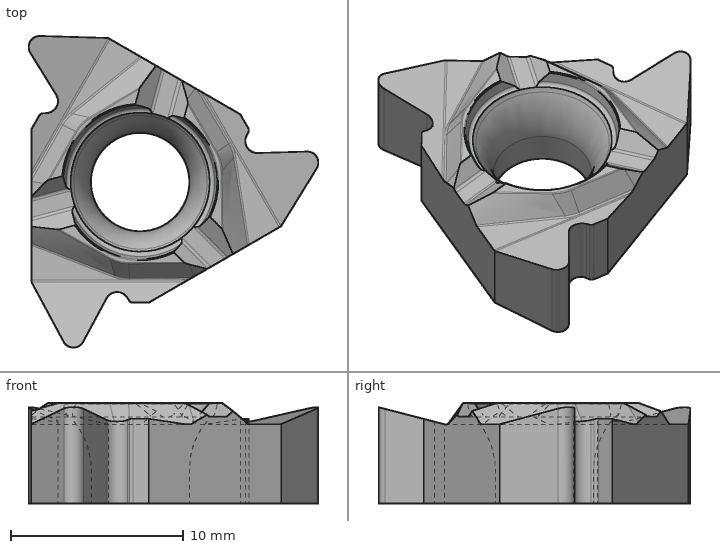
import cadquery as cq
import math

TEETH = 3
SECTOR_ANGLE = 360 / TEETH

body_apothem = 6.3
tip_x = -3.87
tip_center_y = -8.95
tip_radius = 0.65
flank_half_angle = math.radians(28.3)
notch_root_x = -1.4
notch_radius = 0.69
notch_shoulder_angle = math.radians(57)
shoulder_y = -7.0
shoulder_radius = 0.27

top_z = 5.84
floor_z = 4.59
slot_floor_z = 5.02

fold_y = -5.73
rake_angle = math.radians(14.5)
fold_radius = 0.43

foot_corners = [(-1.05, -5.6), (3.16, -5.57), (6.49, -5.1)]
crest_corners = [(-1.26, -4.7), (2.78, -4.68), (4.77, -4.35)]
bend_radius = 2.71
foot_fillet = 0.15
crest_fillet = 0.09

slot_angle = 195
slot_offset = -0.13
slot_half_width = 0.56
slot_steep_angle = math.radians(45)
slot_shallow_angle = math.radians(39)
slot_fillet = 0.29
slot_start_radius = 2.71
slot_end_radius = 8.13

bore_radius = 5.7 / 2
seat_bottom_z = 2.02
seat_arc_radius = 4.26
lip_start_radius = 3.87
lip_radius = 4.03
recess_foot_radius = 4.25
recess_top_radius = 4.48
recess_fillet = 0.27
recess_edge_run = 0.05

reach = 14.45
height_tolerance = 0.02


def rotated(point, degrees):
    angle = math.radians(degrees)
    x, y = point
    return (
        x * math.cos(angle) - y * math.sin(angle),
        x * math.sin(angle) + y * math.cos(angle),
    )


def all_sectors(points):
    return [rotated(p, k * SECTOR_ANGLE) for k in range(TEETH) for p in points]


def midpoint(first, second):
    return ((first[0] + second[0]) / 2, (first[1] + second[1]) / 2)


def polygon_wire(sector_corners, z):
    corners = [cq.Vector(x, y, z) for x, y in all_sectors(sector_corners)]
    return cq.Wire.makePolygon(corners, close=True)


def outline_prism(height):
    """Full outline of the insert, with rounded tips, notches and shoulders."""
    apex = (tip_x, tip_center_y - tip_radius / math.sin(flank_half_angle))
    flank_slope = 1 / math.tan(flank_half_angle)
    heel = (-body_apothem, apex[1] + (body_apothem + tip_x) * flank_slope)
    root = (notch_root_x, apex[1] + (notch_root_x - tip_x) * flank_slope)
    shoulder_run = (root[1] - shoulder_y) / math.tan(notch_shoulder_angle)
    shoulder = (root[0] + shoulder_run, shoulder_y)
    side_angle = math.radians(SECTOR_ANGLE / 2)
    side_x = (body_apothem + shoulder_y * math.sin(side_angle)) / math.cos(side_angle)
    side_start = (side_x, shoulder_y)

    prism = cq.Workplane("XY").polyline(all_sectors([heel, apex, root, shoulder, side_start]))
    prism = prism.close().extrude(height)
    for corner, radius in (
        (apex, tip_radius),
        (root, notch_radius),
        (shoulder, shoulder_radius),
    ):
        for x, y in all_sectors([corner]):
            prism = prism.edges(cq.NearestToPointSelector((x, y, height / 2))).fillet(radius)
    return prism


def tooth_wedge():
    """Block under one cutting face, blended into the floor along the fold line."""
    blend_start = fold_y + fold_radius * math.tan(rake_angle / 2)

    def on_blend(angle):
        return (
            blend_start - fold_radius * math.sin(angle),
            floor_z + fold_radius * (1 - math.cos(angle)),
        )

    return (
        cq.Workplane("YZ")
        .moveTo(blend_start, 0)
        .lineTo(blend_start, floor_z)
        .threePointArc(on_blend(rake_angle / 2), on_blend(rake_angle))
        .lineTo(-reach, floor_z + (reach + fold_y) * math.tan(rake_angle))
        .lineTo(-reach, 0)
        .close()
        .extrude(reach, both=True)
    )


def chip_breaker():
    """Floor slab carrying the raised chip breaker, blended at its foot."""
    foot = polygon_wire(foot_corners, floor_z)
    crest = polygon_wire(crest_corners, top_z)
    boss = cq.Workplane(cq.Solid.makeLoft([foot, crest], True))
    bend_middle = midpoint(foot_corners[0], crest_corners[0])
    for x, y in all_sectors([bend_middle]):
        bend = cq.NearestToPointSelector((x, y, (floor_z + top_z) / 2))
        boss = boss.edges(bend).fillet(bend_radius)
    boss = boss.faces(">Z").edges().fillet(crest_fillet)
    slab = cq.Workplane("XY").rect(2 * reach, 2 * reach).extrude(floor_z)
    blank = slab.union(boss)
    box_reach = 0.9 * reach
    foot_edges = cq.selectors.BoxSelector(
        (-box_reach, -box_reach, floor_z - height_tolerance),
        (box_reach, box_reach, floor_z + height_tolerance),
    )
    return blank.edges(foot_edges).fillet(foot_fillet)


def slot_cutter():
    """Trough with a flat floor; one side leans more than the other."""
    rise = reach - slot_floor_z
    steep_edge = slot_offset - slot_half_width
    shallow_edge = slot_offset + slot_half_width
    return (
        cq.Workplane("YZ", origin=(slot_start_radius, 0, 0))
        .polyline(
            [
                (steep_edge, slot_floor_z),
                (shallow_edge, slot_floor_z),
                (shallow_edge + rise / math.tan(slot_shallow_angle), reach),
                (steep_edge - rise / math.tan(slot_steep_angle), reach),
            ]
        )
        .close()
        .extrude(slot_end_radius - slot_start_radius)
        .faces("<Z")
        .edges("|X")
        .fillet(slot_fillet)
        .rotate((0, 0, 0), (0, 0, 1), slot_angle)
    )


def bore_cutter():
    """Bore, flared seat, rounded lip and the recess around the mouth."""

    def seat_point(radius):
        inset = radius - bore_radius
        return (radius, seat_bottom_z + math.sqrt(inset * (2 * seat_arc_radius - inset)))

    seat_end = seat_point(lip_start_radius)
    seat_middle = seat_point((bore_radius + lip_start_radius) / 2)
    wall_angle = math.atan2(top_z - slot_floor_z, recess_top_radius - recess_foot_radius)
    fillet_run = recess_fillet * math.tan(wall_angle / 2)

    def on_fillet(angle):
        return (
            recess_foot_radius - fillet_run + recess_fillet * math.sin(angle),
            slot_floor_z + recess_fillet * (1 - math.cos(angle)),
        )

    return (
        cq.Workplane("XZ")
        .moveTo(0, 0)
        .lineTo(bore_radius, 0)
        .lineTo(bore_radius, seat_bottom_z)
        .threePointArc(seat_middle, seat_end)
        .tangentArcPoint((lip_radius, slot_floor_z), relative=False)
        .lineTo(*on_fillet(0))
        .threePointArc(on_fillet(wall_angle / 2), on_fillet(wall_angle))
        .lineTo(
            recess_top_radius - recess_edge_run * math.cos(wall_angle),
            top_z - recess_edge_run * math.sin(wall_angle),
        )
        .tangentArcPoint((recess_top_radius + recess_edge_run, top_z), relative=False)
        .lineTo(0, top_z)
        .close()
        .revolve(360, (0, 0, 0), (0, 1, 0))
    )


def turned(shape, sector):
    return shape.rotate((0, 0, 0), (0, 0, 1), sector * SECTOR_ANGLE)


prism = outline_prism(top_z)
wedge = tooth_wedge().intersect(prism)
slot = slot_cutter()

body = prism.intersect(chip_breaker())
for sector in range(TEETH):
    body = body.union(turned(wedge, sector))
for sector in range(TEETH):
    body = body.cut(turned(slot, sector))
result = body.cut(bore_cutter())